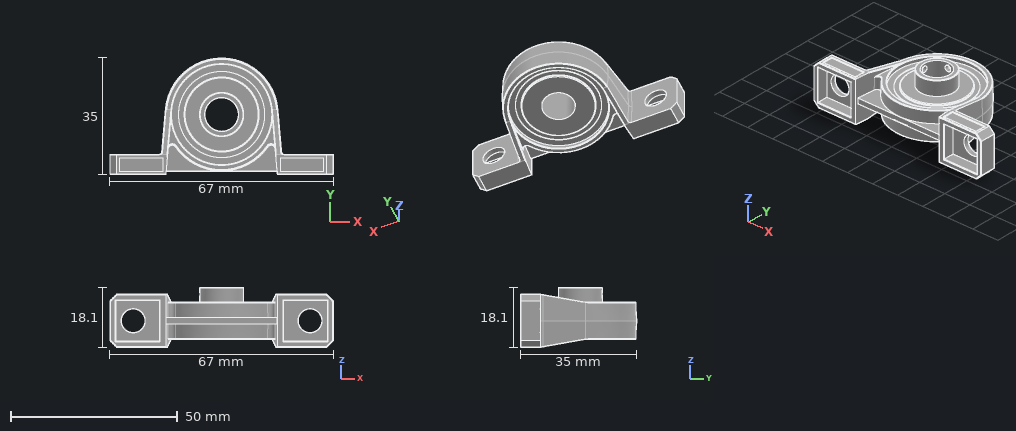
import cadquery as cq
import math


LENGTH = 67.0
FOOT_HALF_HEIGHT = 8.0
AXIS_HEIGHT = 18.0
COLLAR_TOP = 10.05
EDGE_BREAK = 0.2
TOLERANCE = 0.01

HEAD_RADIUS = 16.95
HEAD_HALF_HEIGHT = 5.55
WALL_LEAN = 5.0
DRAFT = 2.0
RING_NECK_FILLET = 1.2
WEB_HALF_THICKNESS = 1.0
WEB_SETBACK = 1.0

FOOT_THICKNESS = 6.0
FOOT_CORNER_CHAMFER = 2.0
FOOT_ROOT_FILLET = 0.8
POCKET_INNER_X = 18.6
POCKET_OUTER_X = 31.75
POCKET_HALF_HEIGHT = 6.1
POCKET_DEPTH = 4.15
BOLT_X = 26.5
BOLT_RADIUS = 3.55
LABEL_INNER_X = 17.6
LABEL_OUTER_X = 30.6
LABEL_WIDTH = 4.0
LABEL_DEPTH = 0.35

SEAT_RADIUS = 15.1
SEAT_DEPTH = 1.55
SEAL_OUTER_RADIUS = 12.9
SEAL_INNER_RADIUS = 11.25
SEAL_DEPTH = 0.2
RACE_RISE = 0.4
RACE_EDGE = 0.3
COLLAR_RADIUS = 6.6
BORE_RADIUS = 5.0
SET_SCREW_RADIUS = 1.1
SET_SCREW_Z = 8.0

lean = math.radians(WALL_LEAN)
half_length = LENGTH / 2
base_y = -AXIS_HEIGHT
foot_top_y = base_y + FOOT_THICKNESS
foot_mid_y = base_y + FOOT_THICKNESS / 2
wall_start_y = HEAD_RADIUS * math.sin(lean)
bearing_face_z = HEAD_HALF_HEIGHT - SEAT_DEPTH
race_face_z = bearing_face_z + RACE_RISE
neck_angle = math.acos(SEAT_RADIUS / HEAD_RADIUS) - lean
neck_x = HEAD_RADIUS * math.cos(neck_angle)
neck_y = -HEAD_RADIUS * math.sin(neck_angle)
trim_y = base_y - 3.35
rough_height = FOOT_HALF_HEIGHT + 1.35


def leaning_x(radius, y):
    """X of the leaning line tangent to a circle of this radius, at height y."""
    return radius / math.cos(lean) - y * math.tan(lean)


def both_sides(half):
    """Join a solid with its mirror image across the mid-plane z = 0."""
    return half.union(half.mirror("XY"))


def ring(outer_radius, inner_radius, bottom_z, height):
    """Plain ring around the bore axis."""
    return cq.Workplane("XY").workplane(offset=bottom_z).circle(outer_radius).circle(inner_radius).extrude(height)


def near_edges(x, y, z_reach):
    """Selector box around the upright edges near (x, y)."""
    reach = 1.0
    return cq.selectors.BoxSelector((x - reach, y - reach, -z_reach), (x + reach, y + reach, z_reach))


def rough_half():
    """Upper half of head, drafted walls and foot slab, taller than needed, with filleted foot roots."""
    tangent_x = HEAD_RADIUS * math.cos(lean)
    foot_x = leaning_x(HEAD_RADIUS, trim_y)
    head = (
        cq.Workplane("XY")
        .moveTo(-foot_x, trim_y)
        .lineTo(foot_x, trim_y)
        .lineTo(tangent_x, wall_start_y)
        .threePointArc((0, HEAD_RADIUS), (-tangent_x, wall_start_y))
        .close()
        .extrude(rough_height, taper=DRAFT)
    )
    slab = (
        cq.Workplane("XY")
        .box(LENGTH, foot_top_y - trim_y, rough_height, centered=(True, False, False))
        .translate((0, trim_y, 0))
    )
    half = head.union(slab)
    for side in (-1, 1):
        root_x = side * leaning_x(HEAD_RADIUS, foot_top_y)
        half = half.edges(near_edges(root_x, foot_top_y, 2 * rough_height)).fillet(FOOT_ROOT_FILLET)
    return half


def side_outline():
    """Prism along X: walls grow from head height to foot height."""
    upper = [
        (base_y, FOOT_HALF_HEIGHT),
        (foot_top_y, FOOT_HALF_HEIGHT),
        (wall_start_y, HEAD_HALF_HEIGHT),
        (HEAD_RADIUS, HEAD_HALF_HEIGHT),
    ]
    lower = [(y, -z) for y, z in reversed(upper)]
    return cq.Workplane("YZ").polyline(upper + lower).close().extrude(half_length, both=True)


def end_outline():
    """Prism along Y: rectangle of the feet with chamfered outer corners."""
    return (
        cq.Workplane("XZ")
        .rect(LENGTH, 2 * FOOT_HALF_HEIGHT)
        .extrude(LENGTH, both=True)
        .edges("|Y")
        .chamfer(FOOT_CORNER_CHAMFER)
    )


def channel():
    """Wedge of space between the inner faces of the two walls."""
    top_x = leaning_x(SEAT_RADIUS, wall_start_y)
    bottom_x = leaning_x(SEAT_RADIUS, trim_y)
    return (
        cq.Workplane("XY")
        .polyline([(-top_x, wall_start_y), (top_x, wall_start_y), (bottom_x, trim_y), (-bottom_x, trim_y)])
        .close()
        .extrude(FOOT_HALF_HEIGHT, both=True)
    )


def seat_ring():
    """Drafted round body that carries the bearing."""
    half = cq.Workplane("XY").circle(HEAD_RADIUS).extrude(HEAD_HALF_HEIGHT, taper=DRAFT)
    return both_sides(half)


def web():
    """Flat plate that closes the gap below the ring between the walls."""
    plate_y = base_y + WEB_SETBACK
    top_x = leaning_x(SEAT_RADIUS, 0)
    bottom_x = leaning_x(SEAT_RADIUS, plate_y)
    return (
        cq.Workplane("XY")
        .polyline([(-top_x, 0), (top_x, 0), (bottom_x, plate_y), (-bottom_x, plate_y)])
        .close()
        .extrude(WEB_HALF_THICKNESS, both=True)
    )


def is_exposed_edge(edge):
    """Tell whether an edge of the bare casting gets an edge break."""
    box = edge.BoundingBox()
    centre = edge.Center()
    on_end_face = abs(abs(centre.z) - HEAD_HALF_HEIGHT) < TOLERANCE and box.zlen < TOLERANCE
    head_rim = on_end_face and centre.y > SEAT_RADIUS / 2
    ring_rim = on_end_face and centre.y < neck_y
    sloped_inner_edge = box.zlen > 0.7 and abs(centre.z) > HEAD_HALF_HEIGHT and abs(centre.x) < HEAD_RADIUS - 0.7
    foot_front = box.ymax < base_y + TOLERANCE and abs(centre.x) > HEAD_RADIUS
    return head_rim or ring_rim or sloped_inner_edge or foot_front


def foot_cuts(side):
    """Front pocket, bolt hole and sunk label panel of one foot."""
    pocket = (
        cq.Workplane("XY")
        .box(POCKET_OUTER_X - POCKET_INNER_X, POCKET_DEPTH, 2 * POCKET_HALF_HEIGHT, centered=(False, False, True))
        .translate((POCKET_INNER_X, base_y, 0))
    )
    mouth = (
        cq.Workplane("XZ", origin=((POCKET_INNER_X + POCKET_OUTER_X) / 2, base_y + EDGE_BREAK, 0))
        .rect(POCKET_OUTER_X - POCKET_INNER_X, 2 * POCKET_HALF_HEIGHT)
        .extrude(EDGE_BREAK, taper=-45)
    )
    bolt = cq.Workplane("XZ").center(BOLT_X, 0).circle(BOLT_RADIUS).extrude(AXIS_HEIGHT)
    label = (
        cq.Workplane("XY")
        .box(LABEL_OUTER_X - LABEL_INNER_X, LABEL_WIDTH, LABEL_DEPTH, centered=(False, True, False))
        .translate((LABEL_INNER_X, foot_mid_y, FOOT_HALF_HEIGHT - LABEL_DEPTH))
    )
    cuts = pocket.union(mouth).union(bolt).union(label)
    return cuts if side > 0 else cuts.mirror("YZ")


def bearing_recess():
    """Seat recess and the shallow seal groove in the bearing face, on both sides."""
    seat = cq.Workplane("XY").workplane(offset=bearing_face_z).circle(SEAT_RADIUS).extrude(FOOT_HALF_HEIGHT)
    seal = ring(SEAL_OUTER_RADIUS, SEAL_INNER_RADIUS, bearing_face_z - SEAL_DEPTH, SEAL_DEPTH)
    rim_base = cq.Workplane("XY").workplane(offset=HEAD_HALF_HEIGHT - EDGE_BREAK).circle(SEAT_RADIUS)
    rim = rim_base.extrude(EDGE_BREAK, taper=-45)
    half = seat.union(seal).union(rim)
    return half.union(half.mirror("XY"))


def inner_race():
    """Raised discs of the inner race on both sides, with the locking collar on the upper one."""
    half = cq.Workplane("XY").circle(SEAL_INNER_RADIUS).extrude(race_face_z).faces(">Z").edges().chamfer(RACE_EDGE)
    collar = cq.Workplane("XY").circle(COLLAR_RADIUS).extrude(COLLAR_TOP).faces(">Z").edges().chamfer(EDGE_BREAK)
    return both_sides(half).union(collar)


def set_screw_holes():
    """Two radial holes through the collar wall, at -X and +Y."""
    centre = (0, 0, SET_SCREW_Z)
    toward_x = cq.Solid.makeCylinder(SET_SCREW_RADIUS, 2 * COLLAR_RADIUS, cq.Vector(*centre), cq.Vector(-1, 0, 0))
    toward_y = cq.Solid.makeCylinder(SET_SCREW_RADIUS, 2 * COLLAR_RADIUS, cq.Vector(*centre), cq.Vector(0, 1, 0))
    return cq.Workplane(toward_x).add(toward_y).combine()


body = both_sides(rough_half()).intersect(side_outline()).intersect(end_outline())

body = body.cut(channel()).union(seat_ring())
for side in (-1, 1):
    body = body.edges(near_edges(side * neck_x, neck_y, HEAD_HALF_HEIGHT - 0.7)).fillet(RING_NECK_FILLET)
body = body.newObject([edge for edge in body.edges().vals() if is_exposed_edge(edge)]).chamfer(EDGE_BREAK)
body = body.union(web())

for side in (-1, 1):
    body = body.cut(foot_cuts(side))

body = body.cut(bearing_recess()).union(inner_race())
bore = cq.Workplane("XY").circle(BORE_RADIUS).extrude(AXIS_HEIGHT, both=True)
result = body.cut(bore).cut(set_screw_holes())